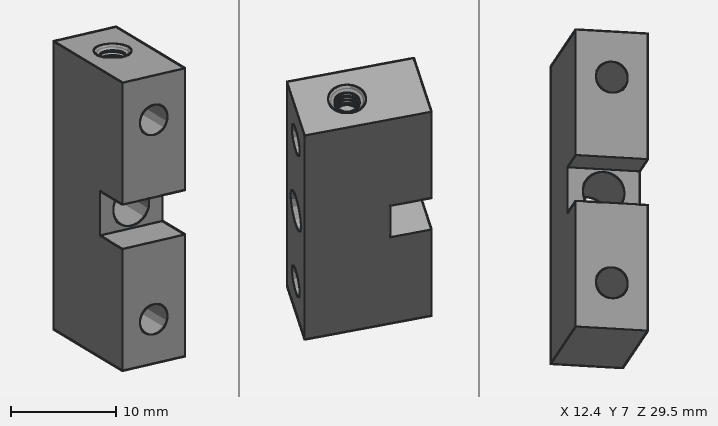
import cadquery as cq

width = 12.4
thickness = 7.0
height = 29.48
mid_y = thickness / 2
mid_z = height / 2

slot_depth = 4.05
slot_height = 4.55

centre_hole_diameter = 4.0
side_hole_diameter = 3.07
side_hole_offset = 10.2

thread_x = 5.0
countersink_diameter = 3.6
major_diameter = 3.1
minor_diameter = 2.42
pitch = 0.5
crest_width = 0.12
thread_turns = 4


def through_hole(diameter, z):
    """Cylinder along X through the full width."""
    return (
        cq.Workplane("YZ", origin=(0, mid_y, z))
        .circle(diameter / 2)
        .extrude(width)
    )


def threaded_hole():
    """Countersink above a stack of ring-shaped V grooves with flat crests, as one revolved solid."""
    countersink_radius = countersink_diameter / 2
    major_radius = major_diameter / 2
    minor_radius = minor_diameter / 2
    thread_top = -(countersink_radius - major_radius)
    thread_bottom = thread_top - thread_turns * pitch

    profile = (
        cq.Workplane("XZ", origin=(thread_x, mid_y, height))
        .lineTo(countersink_radius, 0)
        .lineTo(major_radius, thread_top)
    )
    for turn in range(thread_turns):
        groove_top = thread_top - turn * pitch
        crest_middle = groove_top - pitch / 2
        profile = profile.lineTo(minor_radius, crest_middle + crest_width / 2)
        profile = profile.lineTo(minor_radius, crest_middle - crest_width / 2)
        if turn < thread_turns - 1:
            profile = profile.lineTo(major_radius, groove_top - pitch)
    return (
        profile.lineTo(minor_radius, thread_bottom)
        .lineTo(0, thread_bottom)
        .close()
        .revolve(360, (0, 0, 0), (0, 1, 0))
    )


block = cq.Workplane("XY").box(width, thickness, height, centered=False)

slot = (
    cq.Workplane("XY")
    .box(slot_depth, thickness, slot_height, centered=False)
    .translate((width - slot_depth, 0, mid_z - slot_height / 2))
)

result = block.cut(slot).cut(through_hole(centre_hole_diameter, mid_z))
for offset in (-side_hole_offset, side_hole_offset):
    result = result.cut(through_hole(side_hole_diameter, mid_z + offset))
result = result.cut(threaded_hole())